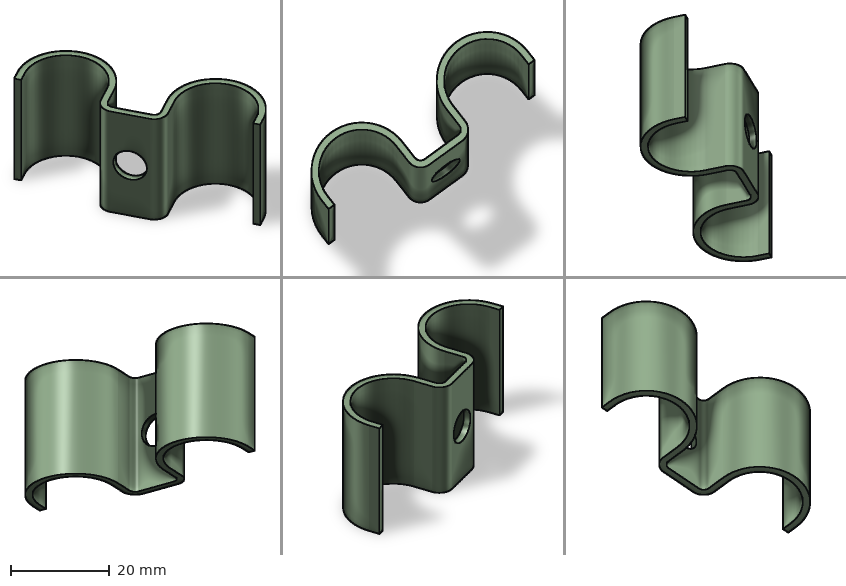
import cadquery as cq

overall_length = 52.25
overall_depth = 17.4
height = 25.4
thickness = 1.5
saddle_radius = 10.25
lip_length = 2.35
bend_radius = 3.0
hole_diameter = 7.1

saddle_inner_radius = saddle_radius - thickness
saddle_x = overall_length / 2 - saddle_radius
web_face_y = saddle_radius - overall_depth
web_half_width = saddle_x - saddle_inner_radius
bend_inner_radius = bend_radius - thickness


def bent_strip():
    """Twin-saddle strip, extruded along Z."""
    inner_leg_x = web_half_width - thickness
    outer_end_x = overall_length / 2
    inner_end_x = outer_end_x - thickness
    web_back_y = web_face_y + thickness
    bend_y = web_face_y + bend_radius
    flat_half_width = web_half_width - bend_radius

    profile = (
        cq.Workplane("XY")
        .moveTo(-outer_end_x, -lip_length)
        .lineTo(-outer_end_x, 0)
        .threePointArc((-saddle_x, saddle_radius), (-inner_leg_x, 0))
        .lineTo(-inner_leg_x, bend_y)
        .radiusArc((-flat_half_width, web_back_y), -bend_inner_radius)
        .lineTo(flat_half_width, web_back_y)
        .radiusArc((inner_leg_x, bend_y), -bend_inner_radius)
        .lineTo(inner_leg_x, 0)
        .threePointArc((saddle_x, saddle_radius), (outer_end_x, 0))
        .lineTo(outer_end_x, -lip_length)
        .lineTo(inner_end_x, -lip_length)
        .lineTo(inner_end_x, 0)
        .threePointArc((saddle_x, saddle_inner_radius), (web_half_width, 0))
        .lineTo(web_half_width, bend_y)
        .radiusArc((flat_half_width, web_face_y), bend_radius)
        .lineTo(-flat_half_width, web_face_y)
        .radiusArc((-web_half_width, bend_y), bend_radius)
        .lineTo(-web_half_width, 0)
        .threePointArc((-saddle_x, saddle_inner_radius), (-inner_end_x, 0))
        .lineTo(-inner_end_x, -lip_length)
        .close()
    )
    return profile.extrude(height)


def screw_hole():
    """Cutter for the round hole through the middle of the web."""
    return (
        cq.Workplane("XZ", origin=(0, web_face_y, height / 2))
        .circle(hole_diameter / 2)
        .extrude(-thickness)
    )


result = bent_strip().cut(screw_hole())